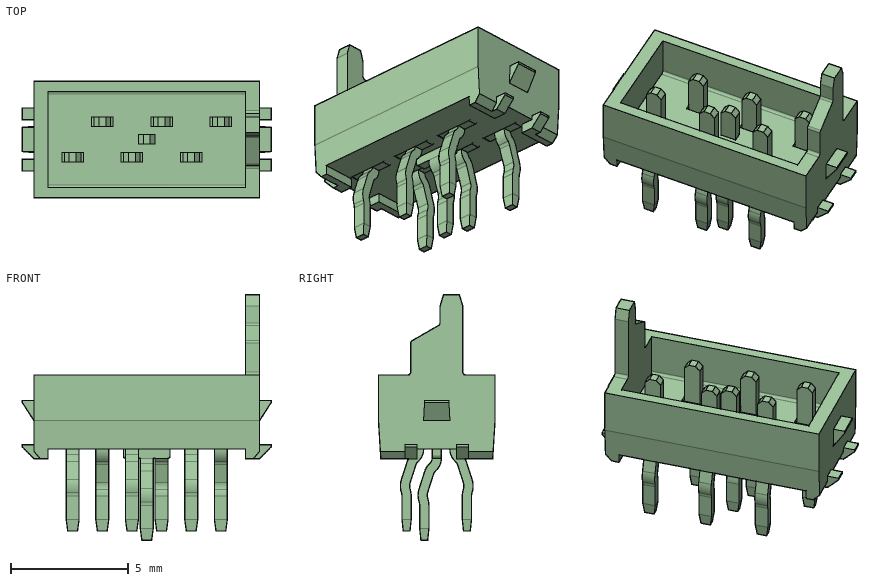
import cadquery as cq
import math

body_half_x = 4.82
body_depth = 5.0
body_half_y = body_depth / 2
body_foot_half_y = 2.4
body_top = 3.17
draft_start = 1.21
floor_top = 1.25
foot_drop = 0.42
end_wall = 0.61
cavity_half_x = body_half_x - end_wall
cavity_half_y = 2.06
floor_fillet = 0.12
foot_chamfer_x = 0.28
foot_chamfer_z = 0.32

overall_half_x = 5.32
nib_top = 2.09
nib_lip = 0.1
nib_top_width = 1.03
nib_bottom_width = 1.13
hook_top = 0.19
hook_lip = 0.1
hook_inner_y = 0.84
hook_width = 0.51

post_top = 6.6
post_half_y = 1.12
post_neck_y = 0.14
post_shoulder_z = 4.6
post_slope = math.radians(30)
post_tip_inset = 0.15
post_tip_height = 0.49
post_fillet = 0.13

pin_pitch = 2.53
row_y = 0.76
row_shift = pin_pitch / 4
pin_thickness = 0.4
contact_width = 0.7
contact_top = body_top
contact_chamfer = 0.2
plate_width = 2.0
plate_height = 0.8
root_radius = 0.11
plate_fillet = 0.1
leg_width = 0.56
leg_end = -3.5
leg_tip_height = 0.5
leg_tip_width = 0.43
leg_tip_thickness = 0.3
center_pin_drop = 0.39

kink_radius = 0.3 + pin_thickness / 2
knee_radius = 0.5 + pin_thickness / 2
kink_angle = 49
slope_angle = 18
slope_length = 0.8


def block(x0, x1, y0, y1, z0, z1):
    """Box between opposite corners."""
    return cq.Workplane("XY").box(x1 - x0, y1 - y0, z1 - z0, centered=False).translate((x0, y0, z0))


def both_ends(shape):
    """The shape together with its mirror image at the other end of the housing."""
    return shape.union(shape.mirror("YZ"))


def shell():
    """Walls, floor and feet, with the lower part of the long sides drafted."""
    outline = [
        (body_half_y, body_top),
        (body_half_y, draft_start),
        (body_foot_half_y, -foot_drop),
        (-body_foot_half_y, -foot_drop),
        (-body_half_y, draft_start),
        (-body_half_y, body_top),
    ]
    body = cq.Workplane("YZ").polyline(outline).close().extrude(body_half_x, both=True)
    under_length = block(-cavity_half_x, cavity_half_x, -body_half_y, body_half_y, -foot_drop, 0)
    under_middle = block(-body_half_x, body_half_x, -hook_inner_y, hook_inner_y, -foot_drop, 0)
    cavity = block(-cavity_half_x, cavity_half_x, -cavity_half_y, cavity_half_y, floor_top, body_top)
    cavity = cavity.edges("|X and <Z").fillet(floor_fillet)
    return body.cut(under_length).cut(under_middle).cut(foot_bevels()).cut(cavity)


def foot_bevels():
    """Wedges that bevel the outer lower edge of the feet."""
    wedge = (
        cq.Workplane("XZ")
        .polyline([
            (body_half_x, -foot_drop),
            (body_half_x - foot_chamfer_x, -foot_drop),
            (body_half_x, foot_chamfer_z - foot_drop),
        ])
        .close()
        .extrude(body_half_y, both=True)
    )
    return both_ends(wedge)


def nibs():
    """Wedge-shaped nib in the middle of each end wall, widening downwards."""
    height = nib_top - draft_start
    side = (
        cq.Workplane("XZ")
        .polyline([
            (cavity_half_x, nib_top),
            (overall_half_x, nib_top),
            (overall_half_x, nib_top - nib_lip),
            (body_half_x, draft_start),
            (cavity_half_x, draft_start),
        ])
        .close()
        .extrude(nib_bottom_width, both=True)
    )
    width = (
        cq.Workplane("YZ", origin=(body_half_x, 0, draft_start))
        .polyline([
            (-nib_bottom_width / 2, 0),
            (nib_bottom_width / 2, 0),
            (nib_top_width / 2, height),
            (-nib_top_width / 2, height),
        ])
        .close()
        .extrude(overall_half_x - body_half_x)
    )
    return both_ends(side.intersect(width))


def hooks():
    """Two hooks per end, beside the gap between the feet."""
    hook = (
        cq.Workplane("XZ", origin=(0, hook_inner_y, 0))
        .polyline([
            (cavity_half_x, hook_top),
            (overall_half_x, hook_top),
            (overall_half_x, hook_top - hook_lip),
            (body_half_x, -foot_drop),
            (cavity_half_x, -foot_drop),
        ])
        .close()
        .extrude(-hook_width)
    )
    return both_ends(hook.union(hook.mirror("XZ")))


def post():
    """Polarizing post, flush with both faces of the +X end wall."""
    neck_foot_z = post_shoulder_z + (post_half_y + post_neck_y) * math.tan(post_slope)
    outline = [
        (post_half_y, body_top),
        (post_half_y, post_top - post_tip_height),
        (post_half_y - post_tip_inset, post_top),
        (post_neck_y + post_tip_inset, post_top),
        (post_neck_y, post_top - post_tip_height),
        (post_neck_y, neck_foot_z),
        (-post_half_y, post_shoulder_z),
        (-post_half_y, body_top),
    ]
    blade = cq.Workplane("YZ", origin=(cavity_half_x, 0, 0)).polyline(outline).close().extrude(end_wall)
    for y, z in ((post_neck_y, neck_foot_z), (-post_half_y, post_shoulder_z)):
        corner = (cavity_half_x + end_wall / 2, y, z)
        blade = blade.edges(cq.NearestToPointSelector(corner)).fillet(post_fillet)
    return blade.union(post_root(1)).union(post_root(-1))


def post_root(side):
    """Concave fillet where one edge of the post meets the top of the wall."""
    edge = side * post_half_y
    outer = side * (post_half_y + post_fillet)
    inset = post_fillet * (1 - math.sqrt(0.5))
    return (
        cq.Workplane("YZ", origin=(cavity_half_x, 0, 0))
        .moveTo(edge, body_top)
        .lineTo(outer, body_top)
        .threePointArc((edge + side * inset, body_top + inset), (edge, body_top + post_fillet))
        .close()
        .extrude(end_wall)
    )


def bend(path, y, z, start, end, radius):
    """Extend the path from (y, z) by an arc that turns from the start angle to the end angle."""
    turn = math.copysign(radius, end - start)

    def at(angle):
        across = math.cos(math.radians(start)) - math.cos(math.radians(angle))
        down = math.sin(math.radians(angle)) - math.sin(math.radians(start))
        return (y - turn * across, z - turn * down)

    middle = at((start + end) / 2)
    y_end, z_end = at(end)
    return path.threePointArc(middle, (y_end, z_end)), y_end, z_end


def leg_path():
    """Middle line of the leg from plate to tip, stepping towards -Y, and its final Y."""
    path = cq.Workplane("YZ").moveTo(0, 0)
    path, y, z = bend(path, 0, 0, 0, kink_angle, kink_radius)
    path, y, z = bend(path, y, z, kink_angle, slope_angle, kink_radius)
    y -= slope_length * math.sin(math.radians(slope_angle))
    z -= slope_length * math.cos(math.radians(slope_angle))
    path = path.lineTo(y, z)
    path, y, z = bend(path, y, z, slope_angle, -slope_angle, knee_radius)
    path, y, z = bend(path, y, z, -slope_angle, 0, knee_radius)
    return path.lineTo(y, leg_end + leg_tip_height), y


def make_contact():
    """Contact with a bevelled top, widening by concave arcs to a stem that ends at the floor."""
    half = contact_width / 2
    stem = half + root_radius
    arc_offset = root_radius * (1 - math.sqrt(0.5))
    return (
        cq.Workplane("XZ")
        .moveTo(0, 0)
        .lineTo(stem, 0)
        .lineTo(stem, floor_top)
        .threePointArc((half + arc_offset, floor_top + arc_offset), (half, floor_top + root_radius))
        .lineTo(half, contact_top - contact_chamfer)
        .lineTo(half - contact_chamfer, contact_top)
        .lineTo(0, contact_top)
        .mirrorY()
        .extrude(pin_thickness / 2, both=True)
    )


def make_pin():
    """Flat contact above a wide plate, with a kinked leg that steps towards -Y below it."""
    half_t = pin_thickness / 2
    plate = block(-plate_width / 2, plate_width / 2, -half_t, half_t, 0, plate_height)
    plate = plate.edges("|Y and <Z").fillet(plate_fillet)

    path, leg_y = leg_path()
    leg = cq.Workplane("XY").rect(leg_width, pin_thickness).sweep(path)
    tip = (
        cq.Workplane("XY", origin=(0, leg_y, leg_end))
        .rect(leg_tip_width, leg_tip_thickness)
        .workplane(offset=leg_tip_height)
        .rect(leg_width, pin_thickness)
        .loft()
    )
    return make_contact().union(plate).union(leg).union(tip)


pin = make_pin()
turned_pin = pin.rotate((0, 0, 0), (0, 0, 1), 180)

signal_pins = []
housing = shell().union(nibs()).union(hooks()).union(post())
for column in (-1, 0, 1):
    for shape, side in ((pin, -1), (turned_pin, 1)):
        x = column * pin_pitch + side * row_shift
        y = side * row_y
        signal_pins.append(shape.translate((x, y, 0)))

center_pin = pin.translate((0, 0, -center_pin_drop))

for fitted_pin in [*signal_pins, center_pin]:
    housing = housing.cut(fitted_pin)

result = cq.Compound.makeCompound([
    housing.val(),
    *[signal_pin.val() for signal_pin in signal_pins],
    center_pin.val(),
])